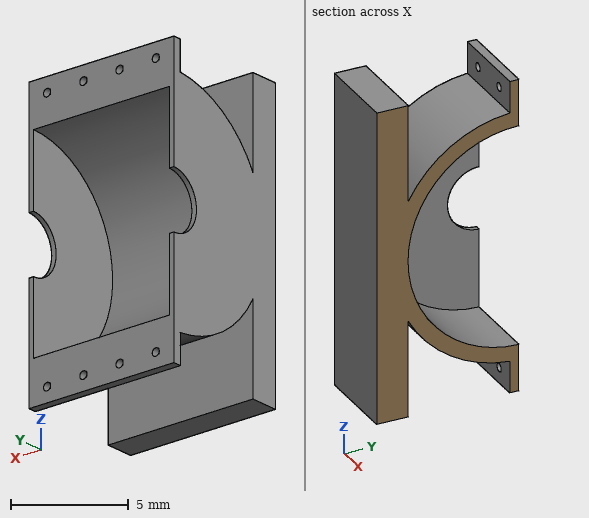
import cadquery as cq

width = 8.0
depth = 6.75
height = 15.0

plate_thickness = 1.5
flange_thickness = 0.44
drum_radius = 6.0
bore_radius = 1.5

end_wall_thickness = 0.25
cavity_radius = depth - plate_thickness
cavity_length = width - 2 * end_wall_thickness

hole_diameter = 0.39
hole_count = 4
hole_pitch = width / hole_count
hole_edge_distance = 0.75


def slab(front_y, thickness):
    """Full-width, full-height slab whose front face lies at front_y."""
    return (
        cq.Workplane("XY")
        .box(width, thickness, height, centered=(True, False, True))
        .translate((0, front_y, 0))
    )


def cylinder_along_x(radius, length):
    """Cylinder on the X axis, centred on the origin."""
    return cq.Workplane("YZ").circle(radius).extrude(length / 2, both=True)


def flange_holes():
    row_z = height / 2 - hole_edge_distance
    first_x = -hole_pitch * (hole_count - 1) / 2
    centres = [
        (first_x + i * hole_pitch, side * row_z)
        for i in range(hole_count)
        for side in (-1, 1)
    ]
    return (
        cq.Workplane("XZ")
        .pushPoints(centres)
        .circle(hole_diameter / 2)
        .extrude(flange_thickness)
    )


plate = slab(-depth, plate_thickness)
flange = slab(-flange_thickness, flange_thickness)

drum = cylinder_along_x(drum_radius, width).intersect(slab(-depth, depth))

result = (
    plate.union(drum)
    .union(flange)
    .cut(cylinder_along_x(bore_radius, width))
    .cut(cylinder_along_x(cavity_radius, cavity_length))
    .cut(flange_holes())
)